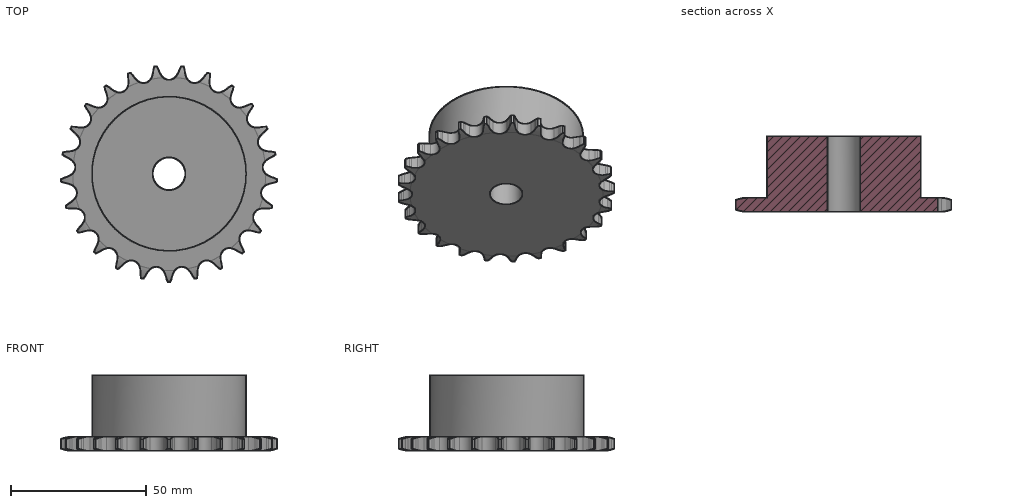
import cadquery as cq
import math

overall_width = 79.9
overall_height = 28.0
hub_diameter = 57.0
bore_diameter = 12.0
rim_thickness = 5.3

tooth_count = 25
roller_pitch = 9.5
seat_radius = 3.2
seat_half_angle = 52.6
working_radius = 8.3
working_sweep = 15.8
flank_length = 0.8
topping_radius = 5.2
tip_half_angle = 0.7
first_tooth_angle = -90.0

crown_start_radius = 35.6
crown_drop = 0.9

tooth_step = 360.0 / tooth_count
pitch_radius = roller_pitch / 2 / math.sin(math.radians(tooth_step / 2))
tip_radius = overall_width / 2 / math.cos(math.radians(tooth_step / 4 - tip_half_angle))


def polar(radius, angle):
    """Point at a radius and an angle in degrees about the origin."""
    return (radius * math.cos(math.radians(angle)), radius * math.sin(math.radians(angle)))


def shifted(point, distance, angle):
    """Point moved by a distance in a direction given in degrees."""
    step_x, step_y = polar(distance, angle)
    return (point[0] + step_x, point[1] + step_y)


def gap_side_points(gap_angle, side):
    """Points up one side of a gap; side is +1 counterclockwise of the seat bottom, -1 clockwise."""
    roller_center = polar(pitch_radius, gap_angle)
    inward_angle = gap_angle + 180.0
    seat_end_angle = inward_angle + side * seat_half_angle
    working_mid_angle = seat_end_angle + side * working_sweep / 2
    working_end_angle = seat_end_angle + side * working_sweep
    working_center = shifted(roller_center, seat_radius - working_radius, seat_end_angle)
    seat_end = shifted(roller_center, seat_radius, seat_end_angle)
    working_mid = shifted(working_center, working_radius, working_mid_angle)
    working_end = shifted(working_center, working_radius, working_end_angle)
    flank_end = shifted(working_end, flank_length, working_end_angle + side * 90.0)
    return seat_end, working_mid, working_end, flank_end


def make_toothed_plate():
    """Plate with the full tooth outline, walked counterclockwise from tip to tip."""
    outline = cq.Workplane("XY").moveTo(*polar(tip_radius, first_tooth_angle - tip_half_angle))
    for tooth in range(tooth_count):
        tooth_angle = first_tooth_angle + tooth * tooth_step
        gap_angle = tooth_angle + tooth_step / 2
        next_tip_start = polar(tip_radius, tooth_angle + tooth_step - tip_half_angle)
        seat_start, first_working_mid, first_working_end, first_flank_end = gap_side_points(gap_angle, 1)
        seat_end, last_working_mid, last_working_end, last_flank_end = gap_side_points(gap_angle, -1)
        seat_bottom = polar(pitch_radius - seat_radius, gap_angle)
        outline = (
            outline
            .threePointArc(polar(tip_radius, tooth_angle), polar(tip_radius, tooth_angle + tip_half_angle))
            .radiusArc(first_flank_end, topping_radius)
            .lineTo(*first_working_end)
            .threePointArc(first_working_mid, seat_start)
            .threePointArc(seat_bottom, seat_end)
            .threePointArc(last_working_mid, last_working_end)
            .lineTo(*last_flank_end)
            .radiusArc(next_tip_start, topping_radius)
        )
    return outline.close().extrude(rim_thickness)


def make_crowned_blank():
    """Round blank whose flat faces curve away towards the tooth tips."""
    crown_width = tip_radius - crown_start_radius
    crown_radius = (crown_width ** 2 + crown_drop ** 2) / (2 * crown_drop)
    middle_radius = crown_start_radius + crown_width / 2
    middle_drop = crown_radius - math.sqrt(crown_radius ** 2 - (crown_width / 2) ** 2)
    return (
        cq.Workplane("XZ")
        .lineTo(crown_start_radius, 0)
        .threePointArc((middle_radius, middle_drop), (tip_radius, crown_drop))
        .lineTo(tip_radius, rim_thickness - crown_drop)
        .threePointArc((middle_radius, rim_thickness - middle_drop), (crown_start_radius, rim_thickness))
        .lineTo(0, rim_thickness)
        .close()
        .revolve(360, (0, 0, 0), (0, 1, 0))
    )


rim = make_toothed_plate().intersect(make_crowned_blank())
hub = cq.Workplane("XY").circle(hub_diameter / 2).extrude(overall_height)
bore = cq.Workplane("XY").circle(bore_diameter / 2).extrude(overall_height)

result = rim.union(hub).cut(bore)